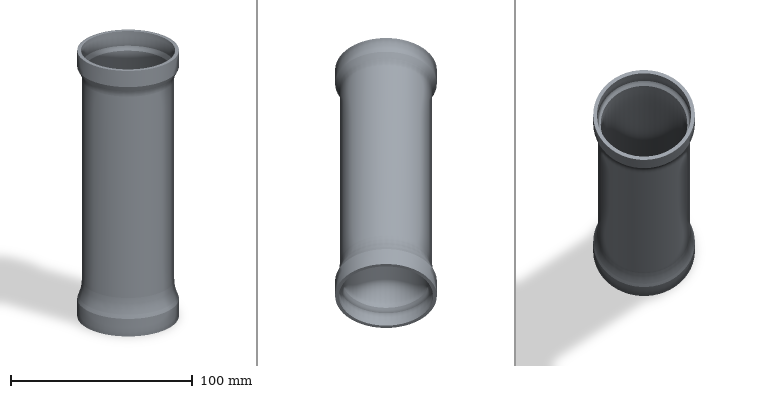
import cadquery as cq
import math

length = 160.0
collar_radius = 28.0
body_radius = 25.5
bore_radius = 23.8

top_collar_height = 9.8
top_neck_radius = 7.7
top_neck_angle = 27.0
bottom_collar_height = 10.5
bottom_neck_radius = 26.0
bottom_neck_angle = 21.0

socket_radius = 26.0
socket_depth = 8.8
seat_height = socket_radius - bore_radius


def neck_points(collar_height, fillet_radius, angle):
    """Return (radius, distance from the tube end) at the cone start, arc start, arc middle and arc end.

    The cone leaves the collar at the given angle to the axis; the arc is tangent to cone and body.
    """
    slope = math.radians(angle)
    arc_start_radius = body_radius + fillet_radius * (1 - math.cos(slope))
    arc_start = collar_height + (collar_radius - arc_start_radius) / math.tan(slope)
    arc_end = arc_start + fillet_radius * math.sin(slope)
    arc_middle_radius = body_radius + fillet_radius * (1 - math.cos(slope / 2))
    arc_middle = arc_end - fillet_radius * math.sin(slope / 2)
    return (
        (collar_radius, collar_height),
        (arc_start_radius, arc_start),
        (arc_middle_radius, arc_middle),
        (body_radius, arc_end),
    )


def from_top(point):
    """Turn (radius, distance below the top end) into (radius, height)."""
    radius, distance = point
    return radius, length - distance


def outer_body():
    """Revolve the outside shape as a solid bar."""
    bottom = neck_points(bottom_collar_height, bottom_neck_radius, bottom_neck_angle)
    top = [from_top(p) for p in neck_points(top_collar_height, top_neck_radius, top_neck_angle)]
    profile = (
        cq.Workplane("XZ")
        .lineTo(collar_radius, 0)
        .lineTo(*bottom[0])
        .lineTo(*bottom[1])
        .threePointArc(bottom[2], bottom[3])
        .lineTo(*top[3])
        .threePointArc(top[2], top[1])
        .lineTo(*top[0])
        .lineTo(collar_radius, length)
        .lineTo(0, length)
        .close()
    )
    return profile.revolve(360, (0, 0, 0), (0, 1, 0))


def inner_cavity():
    """Revolve the through bore together with the two end sockets."""
    seat_end = socket_depth + seat_height
    profile = cq.Workplane("XZ").polyline([
        (0, 0),
        (socket_radius, 0),
        (socket_radius, socket_depth),
        (bore_radius, seat_end),
        from_top((bore_radius, seat_end)),
        from_top((socket_radius, socket_depth)),
        (socket_radius, length),
        (0, length),
    ]).close()
    return profile.revolve(360, (0, 0, 0), (0, 1, 0))


result = outer_body().cut(inner_cavity())